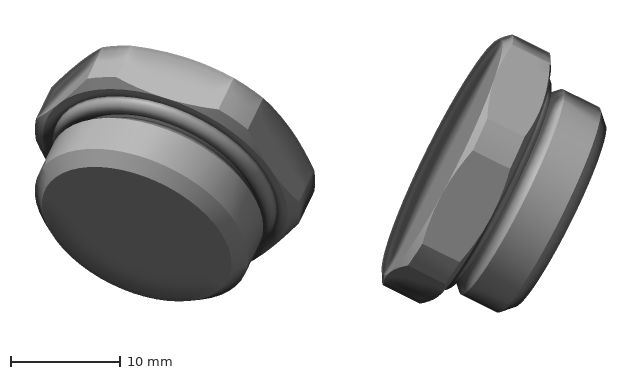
import cadquery as cq
import math

corner_diameter = 26.0
across_flats = 24.0
head_thickness = 5.0
corner_bevel_angle = 30.0

total_length = 12.1
plug_radius = 10.48
plug_chamfer = 1.17
neck_radius = plug_radius - plug_chamfer
neck_end = 6.0

ring_outer_radius = 11.0
ring_section_radius = 1.0


def revolve_profile(points):
    """Revolve (radius, y) points around the Y axis."""
    return cq.Workplane("XY").polyline(points).close().revolve(360, (0, 0, 0), (0, 1, 0))


def make_head():
    corner_radius = corner_diameter / 2
    face_radius = across_flats / 2
    bevel = (corner_radius - face_radius) * math.tan(math.radians(corner_bevel_angle))
    hexagon_diameter = across_flats / math.cos(math.pi / 6)
    hexagon = cq.Workplane("XZ").polygon(6, hexagon_diameter).extrude(head_thickness)
    turned_blank = revolve_profile([
        (0, 0),
        (face_radius, 0),
        (corner_radius, -bevel),
        (corner_radius, bevel - head_thickness),
        (face_radius, -head_thickness),
        (0, -head_thickness),
    ])
    return hexagon.intersect(turned_blank)


def make_plug():
    return revolve_profile([
        (0, -head_thickness),
        (neck_radius, -head_thickness),
        (neck_radius, -neck_end),
        (plug_radius, -neck_end - plug_chamfer),
        (plug_radius, plug_chamfer - total_length),
        (neck_radius, -total_length),
        (0, -total_length),
    ])


def make_sealing_ring():
    section_center = (ring_outer_radius - ring_section_radius, -head_thickness)
    section = cq.Workplane("XY").center(*section_center).circle(ring_section_radius)
    axis_x = -section_center[0]
    axis_y = -section_center[1]
    return section.revolve(360, (axis_x, axis_y, 0), (axis_x, axis_y + 0.25, 0))


result = make_head().union(make_plug()).union(make_sealing_ring())